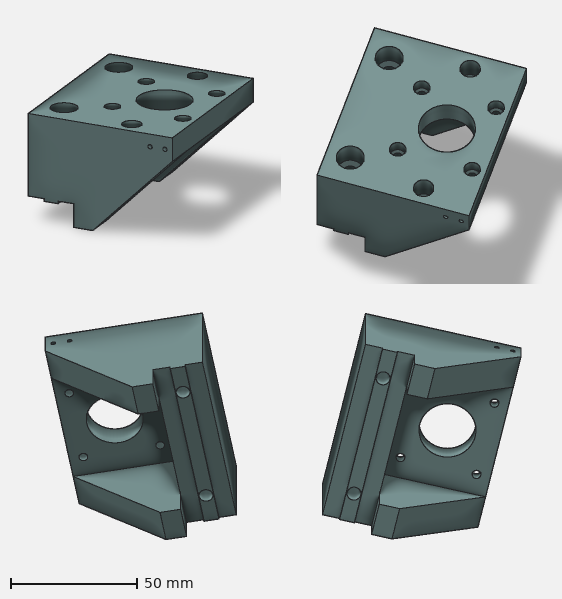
import cadquery as cq

length = 63.3
width = 74.0
height = 45.0

wall_thickness = 20.0
plate_thickness = 10.0
gusset_thickness = 13.2
foot_height = 10.0
wall_height = height - foot_height
slope_run = height - plate_thickness

key_width = 6.1
key_height = 1.1

mount_x = wall_thickness / 2
mount_spacing = 50.0
mount_diameter = 5.5
mount_head_diameter = 11.0
mount_head_depth = 10.0

bore_x = 42.1
bore_diameter = 22.5
screw_spacing = 30.9
screw_diameter = 3.4
screw_head_diameter = 6.5
screw_head_depth = 5.0

blind_spacing = 59.95
blind_diameter = 8.0
blind_depth = 10.0

side_hole_diameter = 1.8
side_hole_depth = 5.0
side_hole_drop = 5.3
side_hole_x_places = (53.5, 60.0)


def make_body():
    """Side profile extruded across the width, centred on Y, top face at Z = 0."""
    profile = [
        (0, 0),
        (length, 0),
        (length, -plate_thickness),
        (length - slope_run, -height),
        (wall_thickness, -height),
        (wall_thickness, -wall_height),
        (0, -wall_height),
    ]
    return cq.Workplane("XZ").polyline(profile).close().extrude(width / 2, both=True)


def make_gusset_gap():
    """Space between the gussets, behind the wall and below the plate."""
    return cq.Workplane("XY").box(
        length - wall_thickness,
        width - 2 * gusset_thickness,
        height - plate_thickness,
        centered=(False, True, False),
    ).translate((wall_thickness, 0, -height))


def make_key():
    return cq.Workplane("XY").box(
        key_width, width, wall_height + key_height - plate_thickness, centered=(True, True, False)
    ).translate((mount_x, 0, -wall_height - key_height))


def top_holes(places, diameter, depth):
    """Cutters for plain holes sunk from the top face."""
    return cq.Workplane("XY").pushPoints(places).circle(diameter / 2).extrude(-depth)


def counterbored_holes(places, diameter, head_diameter, head_depth):
    """Cutters for through holes with heads sunk into the top face."""
    return top_holes(places, diameter, height).union(top_holes(places, head_diameter, head_depth))


def make_side_holes():
    places = [(x, -side_hole_drop) for x in side_hole_x_places]
    front = (
        cq.Workplane("XZ", origin=(0, -width / 2, 0))
        .pushPoints(places)
        .circle(side_hole_diameter / 2)
        .extrude(-side_hole_depth)
    )
    return front.union(front.mirror("XZ"))


mount_places = [(mount_x, side * mount_spacing / 2) for side in (-1, 1)]
blind_places = [(bore_x, side * blind_spacing / 2) for side in (-1, 1)]
screw_places = [
    (bore_x + x_side * screw_spacing / 2, y_side * screw_spacing / 2)
    for x_side in (-1, 1)
    for y_side in (-1, 1)
]

result = make_body().cut(make_gusset_gap()).union(make_key())
result = result.cut(
    counterbored_holes(mount_places, mount_diameter, mount_head_diameter, mount_head_depth)
)
result = result.cut(
    counterbored_holes(screw_places, screw_diameter, screw_head_diameter, screw_head_depth)
)
result = result.cut(top_holes([(bore_x, 0)], bore_diameter, height))
result = result.cut(top_holes(blind_places, blind_diameter, blind_depth))
result = result.cut(make_side_holes())